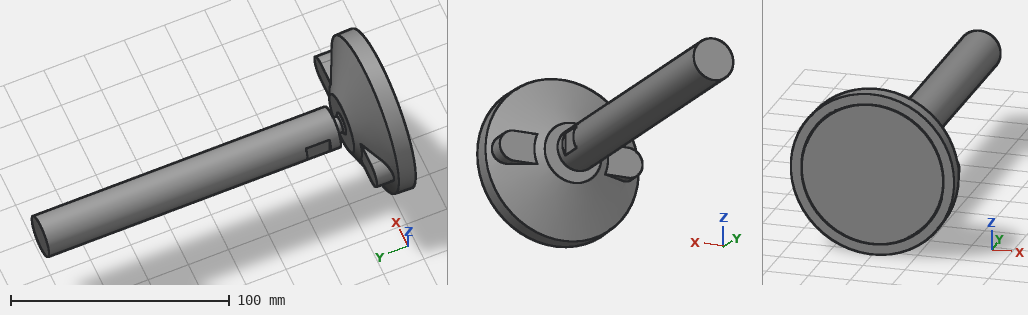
import cadquery as cq

total_length = 170.0
ground_y = -total_length / 2

base_diameter = 78.0
rim_top_diameter = 77.5
rim_height = 8.3
cone_top_diameter = 28.7
cone_top_height = 20.0

pad_diameter = 67.5
pad_seat_diameter = 68.0
pad_gap_depth = 1.7

lug_width = 14.5
lug_center_spacing = 57.8
lug_top_height = 18.0

flare_diameter = 10.5
neck_diameter = 7.8
flare_top_height = 21.0

stem_diameter = 20.0
stem_bottom_height = 24.6
flats_bottom_height = 29.8
flats_length = 11.7
across_flats = 17.0


def section_at(height):
    """Workplane across the foot axis, with its normal along +Y."""
    return cq.Workplane("ZX", origin=(0, ground_y + height, 0)).transformed(rotate=(0, 0, 90))


def make_turned_body():
    """Revolve the foot plate, neck and stem about the Y axis."""
    profile = [
        (0, 0),
        (base_diameter / 2, 0),
        (rim_top_diameter / 2, rim_height),
        (cone_top_diameter / 2, cone_top_height),
        (flare_diameter / 2, cone_top_height),
        (neck_diameter / 2, flare_top_height),
        (neck_diameter / 2, stem_bottom_height),
        (stem_diameter / 2, stem_bottom_height),
        (stem_diameter / 2, total_length),
        (0, total_length),
    ]
    outline = cq.Workplane("XY", origin=(0, ground_y, 0)).polyline(profile).close()
    return outline.revolve(360, (0, 0, 0), (0, 1, 0))


def make_lugs():
    """One round-ended bar across the plate, whose ends emerge as the lugs."""
    bar_length = lug_center_spacing + lug_width
    bar_height = lug_top_height - rim_height
    return section_at(rim_height).slot2D(bar_length, lug_width).extrude(bar_height)


def make_pad_gap():
    """Narrow ring between the pad and its seat."""
    return section_at(0).circle(pad_seat_diameter / 2).circle(pad_diameter / 2).extrude(pad_gap_depth)


def make_wrench_flats():
    """Blocks that cut the flats on the -X and +X sides of the stem."""
    flat_depth = (stem_diameter - across_flats) / 2
    flat_offset = (across_flats + flat_depth) / 2
    return (
        section_at(flats_bottom_height)
        .pushPoints([(-flat_offset, 0), (flat_offset, 0)])
        .rect(flat_depth, stem_diameter)
        .extrude(flats_length)
    )


result = make_turned_body().union(make_lugs()).cut(make_pad_gap()).cut(make_wrench_flats())